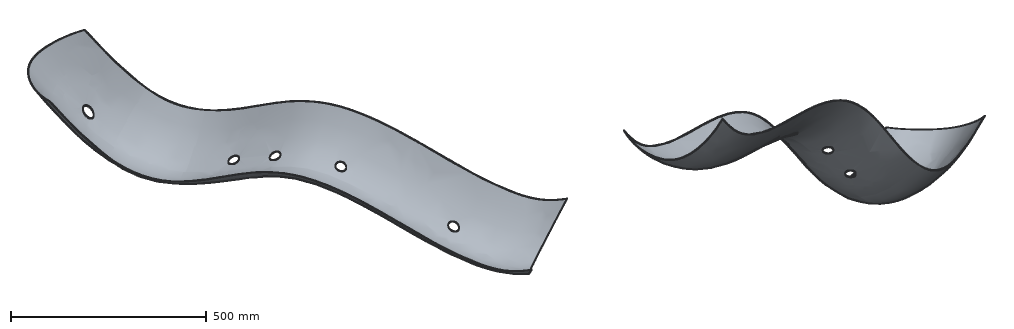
import cadquery as cq

WIDTH = 295.0
WALL = 2.1

TOP_Z = 320.0
TOP_KEEL_X = 0.0
TOP_RIM_X = 92.0

END_KEEL = (1357.0, 7.0)
END_RIM = (1390.0, 90.0)

STATIONS = [
    ((TOP_RIM_X, TOP_Z), (TOP_KEEL_X, TOP_Z)),
    ((125.0, 284.0), (45.0, 265.0)),
    ((159.0, 249.0), (92.0, 213.0)),
    ((225.0, 190.0), (181.0, 132.0)),
    ((292.0, 149.0), (271.0, 84.0)),
    ((377.0, 131.0), (377.0, 64.0)),
    ((460.0, 145.0), (460.0, 78.0)),
    ((561.0, 186.0), (561.0, 111.0)),
    ((661.0, 228.0), (661.0, 149.0)),
    ((749.0, 242.0), (749.0, 165.0)),
    ((862.0, 225.0), (862.0, 145.0)),
    ((995.0, 174.0), (995.0, 90.0)),
    ((1164.0, 99.0), (1164.0, 21.0)),
    ((1230.0, 78.0), (1230.0, 4.0)),
    ((1293.0, 68.0), (1293.0, 0.0)),
    (END_RIM, END_KEEL),
]

SECTION = [
    (WIDTH / 2, 0.0),
    (63.0, 0.74),
    (-29.0, 1.0),
    (-92.0, 0.74),
    (-WIDTH / 2, 0.0),
]

HOLE_DIAMETER = 28.0
HOLE_Y = 14.0
HOLE_XS = [146.0, 537.0, 649.0, 825.0, 1129.0]


def section_wire(rim, keel):
    """Closed thin section of the trough in the plane through rims and keel."""
    rim_centre = cq.Vector(rim[0], 0, rim[1])
    depth = cq.Vector(keel[0], 0, keel[1]) - rim_centre
    wall_offset = depth.normalized() * -WALL
    outer = [rim_centre + depth * share + cq.Vector(0, y, 0) for y, share in SECTION]
    inner = [point + wall_offset for point in outer]
    edges = [
        cq.Edge.makeSpline(outer),
        cq.Edge.makeLine(outer[-1], inner[-1]),
        cq.Edge.makeSpline(inner[::-1]),
        cq.Edge.makeLine(inner[0], outer[0]),
    ]
    return cq.Wire.assembleEdges(edges)


trough = cq.Workplane(cq.Solid.makeLoft([section_wire(rim, keel) for rim, keel in STATIONS]))
holes = (
    cq.Workplane("XY")
    .pushPoints([(x, HOLE_Y) for x in HOLE_XS])
    .circle(HOLE_DIAMETER / 2)
    .extrude(TOP_Z)
)
result = trough.cut(holes)